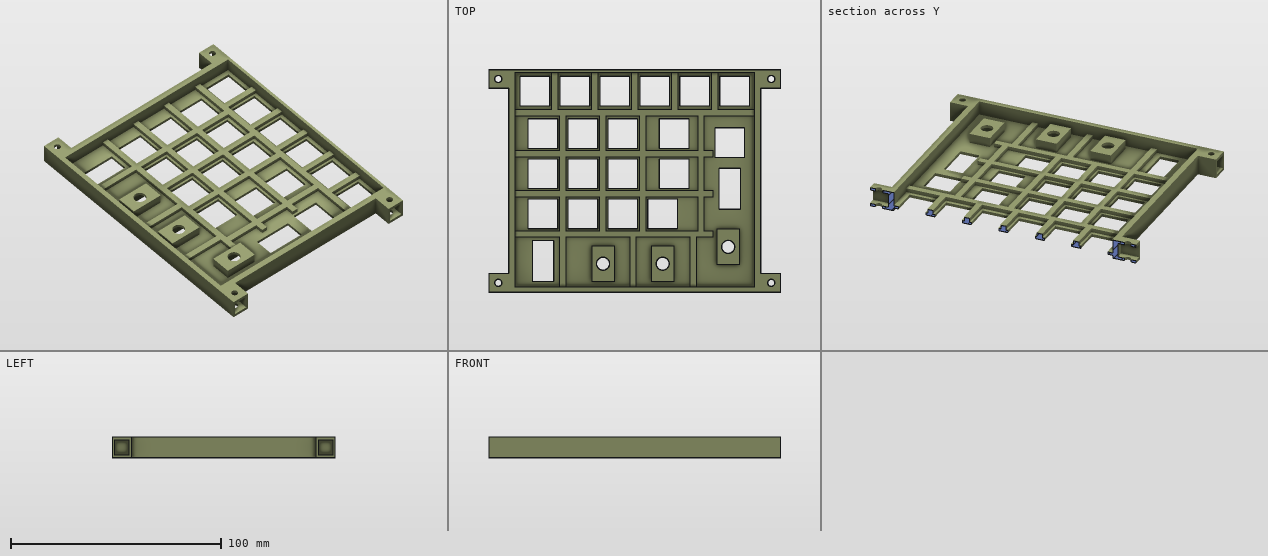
import cadquery as cq

overall_length = 138.85
body_length = 120.0
body_width = 106.0
height = 10.04
side_wall = 3.0
back_wall = 1.5
front_wall = 2.6
floor_bottom = 1.5
floor_thickness = 1.5
floor_top = floor_bottom + floor_thickness
cavity_right = body_length / 2 - side_wall
cavity_left = -cavity_right
cavity_back = body_width / 2 - back_wall
cavity_front = front_wall - body_width / 2

lug_length = (overall_length - body_length) / 2
lug_width = 9.0
lug_x = (body_length + lug_length) / 2
lug_y = (body_width - lug_width) / 2
socket_size = 7.0
socket_bottom = (height - socket_size) / 2
screw_diameter = 3.3
screw_end_distance = 4.5
screw_x = overall_length / 2 - screw_end_distance

key_size = 14.0
key_pitch = 19.0
row_pitch = 19.1
top_row_count = 6
top_row_y = 42.7
top_row_first_x = -key_pitch * (top_row_count - 1) / 2
top_row_x = [top_row_first_x + i * key_pitch for i in range(top_row_count)]
first_column_x = -43.7
first_row_y = 22.5
column_x = [first_column_x + i * key_pitch for i in range(4)]
row_y = [first_row_y - i * row_pitch for i in range(3)]
wide_key_x = 18.7
side_column_x = 45.2
side_key_y = 18.2

slot_length = 10.0
slot_width = 19.4
slot_centers = [(-43.6, -38.1), (side_column_x, -3.7)]

rib_width = 3.0
rib_top = 5.0
top_rib_y = 32.5
row_rib_y = [y - row_pitch / 2 for y in row_y]
last_rib_y = row_rib_y[-1]
row_rib_end = 37.25
top_row_rib_x = [x + key_pitch / 2 for x in top_row_x[:-1]]
wide_key_rib_x = 31.5
column_rib_x = [x + key_pitch / 2 for x in column_x[:-1]] + [wide_key_rib_x]
front_rib_x = [column_rib_x[0], -0.8, 27.8]

block_length = 10.7
block_width = 16.8
block_top = 7.8
block_wall = 1.5
block_hole_diameter = 6.1
block_centers = [(-15.1, -39.4), (13.3, -39.4), (44.45, -31.4)]


def block_at(center, length, width, z_min, z_max):
    """Rectangular block centered on an (x, y) point, between two heights."""
    return cq.Workplane("XY", origin=(*center, z_min)).rect(length, width).extrude(z_max - z_min)


def cavity(z_min, z_max):
    """Space inside the frame walls between two heights."""
    center = ((cavity_left + cavity_right) / 2, (cavity_front + cavity_back) / 2)
    return block_at(center, cavity_right - cavity_left, cavity_back - cavity_front, z_min, z_max)


def rib_along_x(y, x_end):
    """Rib from the left side wall to x_end."""
    center = ((cavity_left + x_end) / 2, y)
    return block_at(center, x_end - cavity_left, rib_width, floor_bottom, rib_top)


def rib_along_y(x, y_min, y_max):
    """Rib between two y positions."""
    center = (x, (y_min + y_max) / 2)
    return block_at(center, rib_width, y_max - y_min, floor_bottom, rib_top)


def make_frame():
    """Frame walls with the floor between them."""
    frame = block_at((0, 0), body_length, body_width, 0, height)
    frame = frame.cut(cavity(floor_top, height))
    return frame.cut(cavity(0, floor_bottom))


def add_lugs(part):
    """Four hollow corner lugs, each with a vertical screw hole."""
    for x_side in (-1, 1):
        for y_side in (-1, 1):
            center = (x_side * lug_x, y_side * lug_y)
            lug = block_at(center, lug_length, lug_width, 0, height)
            socket = block_at(center, lug_length, socket_size, socket_bottom, height - socket_bottom)
            screw_hole = (
                cq.Workplane("XY")
                .center(x_side * screw_x, y_side * lug_y)
                .circle(screw_diameter / 2)
                .extrude(height)
            )
            part = part.union(lug.cut(socket).cut(screw_hole))
    return part


def add_ribs(part):
    """Grid of ribs rising from the floor around the keys."""
    part = part.union(rib_along_x(top_rib_y, cavity_right))
    for y in row_rib_y:
        part = part.union(rib_along_x(y, row_rib_end))
    for x in top_row_rib_x:
        part = part.union(rib_along_y(x, top_rib_y, cavity_back))
    for x in column_rib_x:
        part = part.union(rib_along_y(x, last_rib_y, top_rib_y))
    for x in front_rib_x:
        part = part.union(rib_along_y(x, cavity_front, last_rib_y))
    return part


def add_blocks(part):
    """Raised blocks, hollowed from below and pierced from above."""
    hollow_length = block_length - 2 * block_wall
    hollow_width = block_width - 2 * block_wall
    for center in block_centers:
        part = part.union(block_at(center, block_length, block_width, floor_bottom, block_top))
        part = part.cut(block_at(center, hollow_length, hollow_width, 0, block_top - block_wall))
    holes = (
        cq.Workplane("XY")
        .pushPoints(block_centers)
        .circle(block_hole_diameter / 2)
        .extrude(block_top)
    )
    return part.cut(holes)


def cut_openings(part):
    """Key openings and tall slots through the floor."""
    key_centers = [(x, top_row_y) for x in top_row_x]
    key_centers += [(x, y) for x in column_x[:-1] for y in row_y]
    key_centers += [(wide_key_x, y) for y in row_y[:-1]]
    key_centers += [(column_x[-1], row_y[-1]), (side_column_x, side_key_y)]
    for center in key_centers:
        part = part.cut(block_at(center, key_size, key_size, floor_bottom, floor_top))
    for center in slot_centers:
        part = part.cut(block_at(center, slot_length, slot_width, floor_bottom, floor_top))
    return part


tray = add_lugs(make_frame())
tray = add_ribs(tray)
tray = add_blocks(tray)
result = cut_openings(tray)